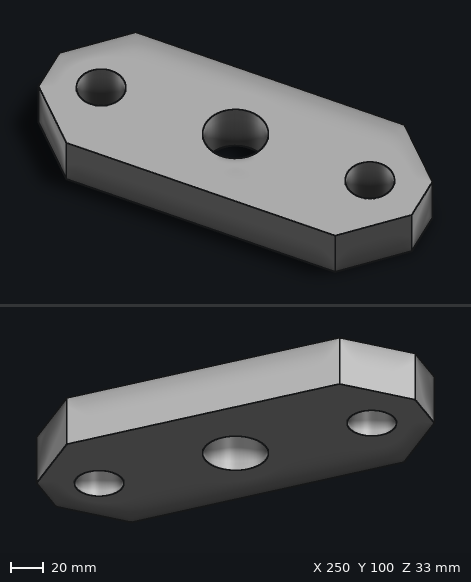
import cadquery as cq

length = 250.0
width = 100.0
thickness = 33.0
corner_cut = 35.0

center_hole_diameter = 40.0
end_hole_diameter = 30.0
end_hole_spacing = length - 2 * corner_cut

plate = cq.Workplane("XY").box(length, width, thickness).edges("|Z").chamfer(corner_cut)

plate = plate.faces(">Z").workplane().hole(center_hole_diameter)

result = (
    plate.faces(">Z")
    .workplane()
    .rarray(end_hole_spacing, 2.5, 2, 1)
    .hole(end_hole_diameter)
)